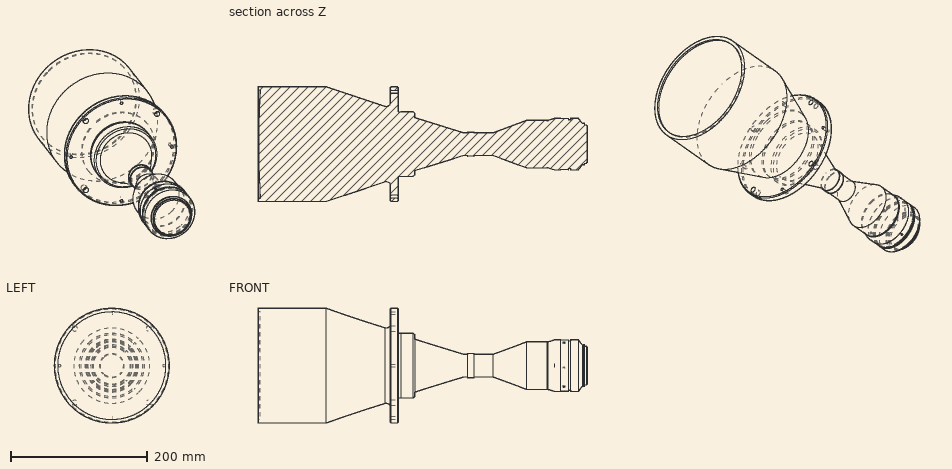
import cadquery as cq
import math

TOTAL_LENGTH = 483.0

BARREL_RADIUS = 84.5
BARREL_END = 99.5
FRONT_TAPER_END = 186.5
FRONT_NECK_RADIUS = 55.5
FLANGE_FILLET = 5.5

LENS_RADIUS = 79.0
RIM_DEPTH = 3.0
LENS_BULGE = 2.5

FLANGE_RADIUS = 84.5
FLANGE_FRONT = 193.5
FLANGE_BACK = 205.5
FLANGE_CHAMFER = 1.5
BOLT_CIRCLE_RADIUS = 77.0
BOLT_HOLE_DIAMETER = 7.5
PIN_HOLE_DIAMETER = 4.0
HOLES_PER_SET = 4

COLLAR_RADIUS = 48.0
COLLAR_STEP = 0.25
COLLAR_STEP_END = 209.5
COLLAR_BACK = 230.0
COLLAR_CHAMFER = 2.5

MID_TAPER_RADIUS = 39.0
WAIST_RADIUS = 17.0
WAIST_START = 301.5
WAIST_END = 344.8
RING_RADIUS = 18.0
RING_FRONT = 307.0
RING_BACK = 316.5

REAR_RADIUS = 35.2
REAR_START = 394.0
REAR_END = 425.5
JOINT_WIDTH = 1.5
JOINT_DEPTH = 0.5

FOCUS_RADIUS = 38.0
FOCUS_START = 435.0
FOCUS_SPLIT = 443.5
FOCUS_STEP = 0.25
GROOVE_FRONT = 455.5
GROOVE_BACK = 458.0
GROOVE_DEPTH = 2.0
FOCUS_END = 470.0
SCREW_X = 448.5
SCREW_DIAMETER = 2.5
SCREW_DEPTH = 2.0
SCREW_COUNT = 3
FIRST_SCREW_ANGLE = 115.0

MOUNT_NECK_RADIUS = 30.5
MOUNT_NECK_START = 475.5
MOUNT_FLANGE_RADIUS = 31.0
MOUNT_FLANGE_FRONT = 477.0
MOUNT_FLANGE_BACK = 479.0
SPIGOT_RADIUS = 28.5
SPIGOT_CHAMFER = 1.5


def lens_point(radius):
    """Point of the spherical lens face at the given distance from the axis."""
    sphere_radius = (LENS_RADIUS**2 + LENS_BULGE**2) / (2 * LENS_BULGE)
    sag = sphere_radius - math.sqrt(sphere_radius**2 - radius**2)
    return (RIM_DEPTH - LENS_BULGE + sag, radius)


def fillet_midpoint():
    """Middle of the concave arc between the front neck and the flange face."""
    offset = FLANGE_FILLET * (1 - math.sqrt(0.5))
    return (FLANGE_FRONT - offset, FRONT_NECK_RADIUS + offset)


def turned_body():
    """Solid of revolution of the whole housing, drawn as (x, radius) and spun about X."""
    step_radius = COLLAR_RADIUS - COLLAR_STEP
    half_profile = (
        cq.Workplane("XY")
        .moveTo(RIM_DEPTH - LENS_BULGE, 0)
        .threePointArc(lens_point(LENS_RADIUS / 2), lens_point(LENS_RADIUS))
        .lineTo(0, LENS_RADIUS)
        .lineTo(0, BARREL_RADIUS)
        .lineTo(BARREL_END, BARREL_RADIUS)
        .lineTo(FRONT_TAPER_END, FRONT_NECK_RADIUS)
        .lineTo(FLANGE_FRONT - FLANGE_FILLET, FRONT_NECK_RADIUS)
        .threePointArc(fillet_midpoint(), (FLANGE_FRONT, FRONT_NECK_RADIUS + FLANGE_FILLET))
        .lineTo(FLANGE_FRONT, FLANGE_RADIUS - FLANGE_CHAMFER)
        .lineTo(FLANGE_FRONT + FLANGE_CHAMFER, FLANGE_RADIUS)
        .lineTo(FLANGE_BACK - FLANGE_CHAMFER, FLANGE_RADIUS)
        .lineTo(FLANGE_BACK, FLANGE_RADIUS - FLANGE_CHAMFER)
        .lineTo(FLANGE_BACK, step_radius)
        .lineTo(COLLAR_STEP_END, step_radius)
        .lineTo(COLLAR_STEP_END, COLLAR_RADIUS)
        .lineTo(COLLAR_BACK - COLLAR_CHAMFER, COLLAR_RADIUS)
        .lineTo(COLLAR_BACK, COLLAR_RADIUS - COLLAR_CHAMFER)
        .lineTo(COLLAR_BACK, MID_TAPER_RADIUS)
        .lineTo(WAIST_START, WAIST_RADIUS)
        .lineTo(RING_FRONT, WAIST_RADIUS)
        .lineTo(RING_FRONT, RING_RADIUS)
        .lineTo(RING_BACK, RING_RADIUS)
        .lineTo(RING_BACK, WAIST_RADIUS)
        .lineTo(WAIST_END, WAIST_RADIUS)
        .lineTo(REAR_START, REAR_RADIUS)
        .lineTo(REAR_END - JOINT_WIDTH, REAR_RADIUS)
        .lineTo(REAR_END - JOINT_WIDTH, REAR_RADIUS - JOINT_DEPTH)
        .lineTo(REAR_END, REAR_RADIUS - JOINT_DEPTH)
        .lineTo(REAR_END, REAR_RADIUS)
        .lineTo(FOCUS_START, FOCUS_RADIUS)
        .lineTo(FOCUS_SPLIT, FOCUS_RADIUS)
        .lineTo(FOCUS_SPLIT, FOCUS_RADIUS - FOCUS_STEP)
        .lineTo(GROOVE_FRONT, FOCUS_RADIUS - FOCUS_STEP)
        .lineTo(GROOVE_FRONT, FOCUS_RADIUS - GROOVE_DEPTH)
        .lineTo(GROOVE_BACK, FOCUS_RADIUS - GROOVE_DEPTH)
        .lineTo(GROOVE_BACK, FOCUS_RADIUS)
        .lineTo(FOCUS_END, FOCUS_RADIUS)
        .lineTo(MOUNT_NECK_START, MOUNT_NECK_RADIUS)
        .lineTo(MOUNT_FLANGE_FRONT, MOUNT_NECK_RADIUS)
        .lineTo(MOUNT_FLANGE_FRONT, MOUNT_FLANGE_RADIUS)
        .lineTo(MOUNT_FLANGE_BACK, MOUNT_FLANGE_RADIUS)
        .lineTo(MOUNT_FLANGE_BACK, SPIGOT_RADIUS)
        .lineTo(TOTAL_LENGTH - SPIGOT_CHAMFER, SPIGOT_RADIUS)
        .lineTo(TOTAL_LENGTH, SPIGOT_RADIUS - SPIGOT_CHAMFER)
        .lineTo(TOTAL_LENGTH, 0)
        .close()
    )
    return half_profile.revolve(360, (0, 0, 0), (1, 0, 0))


def flange_holes(diameter, start_angle):
    """One evenly spaced set of axial through holes in the flange."""
    return (
        cq.Workplane("YZ")
        .workplane(offset=FLANGE_FRONT)
        .polarArray(BOLT_CIRCLE_RADIUS, start_angle, 360, HOLES_PER_SET)
        .circle(diameter / 2)
        .extrude(FLANGE_BACK - FLANGE_FRONT)
    )


def set_screw_hole(angle):
    """Shallow radial hole in the focus ring, at an angle measured from +Y towards +Z."""
    return (
        cq.Workplane("XZ", origin=(SCREW_X, FOCUS_RADIUS - SCREW_DEPTH, 0))
        .circle(SCREW_DIAMETER / 2)
        .extrude(-2 * SCREW_DEPTH)
        .rotate((0, 0, 0), (1, 0, 0), angle)
    )


result = turned_body()
result = result.cut(flange_holes(BOLT_HOLE_DIAMETER, 180 / HOLES_PER_SET))
result = result.cut(flange_holes(PIN_HOLE_DIAMETER, 0))
for index in range(SCREW_COUNT):
    result = result.cut(set_screw_hole(FIRST_SCREW_ANGLE + index * 360 / SCREW_COUNT))